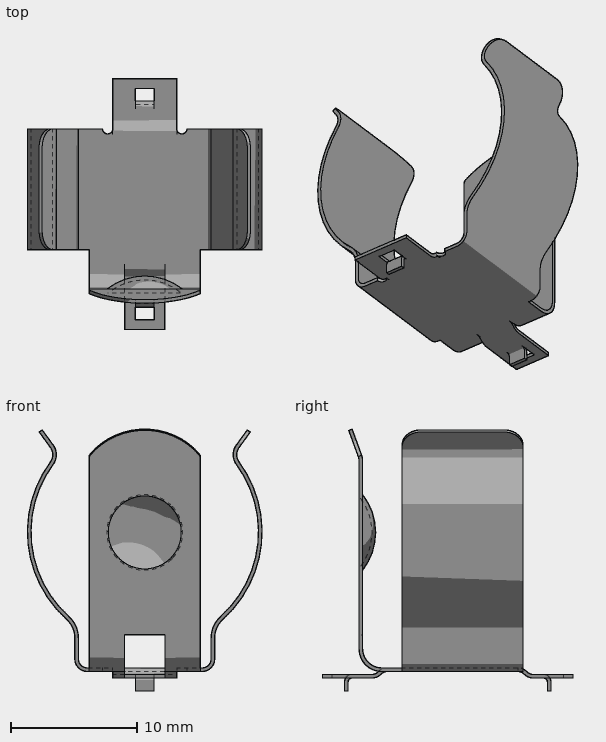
import cadquery as cq
import math

thickness = 0.3
half_sheet = thickness / 2

arm_width = 9.6
overall_width = 18.61
arm_radius = overall_width / 2 - half_sheet
arm_centre_z = 11.08
leg_x = 5.4
base_bend_radius = 0.85
shoulder_radius = 2.15
throat_x = 7.15
throat_radius = 1.15
flare_tilt = 36.0
flare_length = 1.5
flare_corner_radius = 1.5

stop_width = 8.82
stop_outer_y = -8.21
stop_bend_radius = 1.67
lip_start_z = 16.7
lip_bend_radius = 1.15
lip_tilt = 20.0
lip_length = 2.215

dimple_z = 11.03
dimple_radius = 4.85
dimple_height = 1.04

overall_depth = 19.88
tab_drop = 0.52
jog_bend_radius = 0.85
jog_angle = 40.0
rear_tab_width = 5.08
rear_jog_y = 4.38
rear_tab_end_y = 8.77
front_tab_width = 3.2
front_jog_y = -5.95
front_tab_end_y = rear_tab_end_y - overall_depth
window_top_z = 2.91
relief_radius = 0.4

pin_width = 1.5
pin_tip_z = -1.54
pin_bend_radius = 0.45
slot_length = 1.57
slot_margin = 0.78


def strip(plane, start, heading, moves, width):
    """Bent sheet strip, centred on the plane, following its mid-sheet path.

    A move is ("line", length) or ("bend", radius, angle); a positive angle turns left.
    Returns the solid with the end point and end heading of the path.
    """
    def offset(point, direction, distance):
        angle = math.radians(direction)
        return (point[0] + distance * math.cos(angle), point[1] + distance * math.sin(angle))

    def sides(point, direction):
        return (offset(point, direction + 90, half_sheet), offset(point, direction - 90, half_sheet))

    point = start
    stations = [sides(point, heading)]
    middles = []
    for move in moves:
        if move[0] == "line":
            point = offset(point, heading, move[1])
            middles.append(None)
        else:
            radius, angle = move[1:]
            side = math.copysign(90, angle)
            centre = offset(point, heading + side, radius)
            halfway = heading + angle / 2
            middles.append(sides(offset(centre, halfway - side, radius), halfway))
            heading += angle
            point = offset(centre, heading - side, radius)
        stations.append(sides(point, heading))

    outline = cq.Workplane(plane).moveTo(*stations[0][0])
    for middle, station in zip(middles, stations[1:]):
        if middle is None:
            outline = outline.lineTo(*station[0])
        else:
            outline = outline.threePointArc(middle[0], station[0])
    outline = outline.lineTo(*stations[-1][1])
    for middle, station in zip(reversed(middles), reversed(stations[:-1])):
        if middle is None:
            outline = outline.lineTo(*station[1])
        else:
            outline = outline.threePointArc(middle[1], station[1])
    solid = outline.close().extrude(width / 2, both=True)
    return solid, point, heading


def box(x_size, y_range, z_range):
    """Box centred on X = 0."""
    y_size = y_range[1] - y_range[0]
    z_size = z_range[1] - z_range[0]
    corner = (-x_size / 2, y_range[0], z_range[0])
    return cq.Workplane("XY").box(x_size, y_size, z_size, centered=False).translate(corner)


def make_arm():
    """Right-hand half of the base with its spring arm."""
    shoulder_angle = math.degrees(math.acos((leg_x + shoulder_radius) / (arm_radius + shoulder_radius)))
    throat_angle = math.degrees(math.acos((throat_x + throat_radius) / (arm_radius + throat_radius)))
    shoulder_drop = (arm_radius + shoulder_radius) * math.sin(math.radians(shoulder_angle))
    leg_top_z = arm_centre_z - shoulder_drop
    moves = [
        ("line", leg_x - base_bend_radius),
        ("bend", base_bend_radius, 90),
        ("line", leg_top_z - base_bend_radius - half_sheet),
        ("bend", shoulder_radius, -shoulder_angle),
        ("bend", arm_radius, shoulder_angle + throat_angle),
        ("bend", throat_radius, -throat_angle - flare_tilt),
        ("line", flare_length),
    ]
    arm, tip, heading = strip("XZ", (0, half_sheet), 0, moves, arm_width)
    tip_centre = cq.Vector(tip[0], 0, tip[1])
    reach = cq.Vector(thickness, arm_width, thickness)
    corner_edges = cq.selectors.BoxSelector(tip_centre - reach, tip_centre + reach)
    thickness_direction = cq.Vector(math.sin(math.radians(heading)), 0, -math.cos(math.radians(heading)))
    across_sheet = cq.selectors.ParallelDirSelector(thickness_direction)
    return arm.edges(corner_edges).edges(across_sheet).fillet(flare_corner_radius)


def make_end_stop():
    """Base extension turned up into the stop plate, with a round lip leaning outwards."""
    stop_y = stop_outer_y + half_sheet
    run = -stop_y - stop_bend_radius
    moves = [
        ("line", run),
        ("bend", stop_bend_radius, -90),
        ("line", lip_start_z - stop_bend_radius - half_sheet),
        ("bend", lip_bend_radius, lip_tilt),
    ]
    stop, lip_base, _ = strip("YZ", (0, half_sheet), 180, moves, stop_width)
    half_width = stop_width / 2
    lip_plane = cq.Plane(
        origin=(0, lip_base[0], lip_base[1]),
        xDir=(1, 0, 0),
        normal=(0, -math.cos(math.radians(lip_tilt)), -math.sin(math.radians(lip_tilt))),
    )
    lip = (
        cq.Workplane(lip_plane)
        .moveTo(-half_width, 0)
        .threePointArc((0, lip_length), (half_width, 0))
        .close()
        .extrude(half_sheet, both=True)
    )
    return stop.union(lip)


def add_dimple(body):
    """Spherical shell pressed through the stop plate from outside."""
    inner_face_y = stop_outer_y + thickness
    centre = (0, inner_face_y + dimple_height - dimple_radius, dimple_z)
    bulge = cq.Workplane("XY").sphere(dimple_radius).translate(centre)
    hollow = cq.Workplane("XY").sphere(dimple_radius - thickness).translate(centre)
    inside = box(stop_width, (stop_outer_y, 0), (dimple_z - dimple_radius, dimple_z + dimple_radius))
    return body.union(bulge.intersect(inside)).cut(hollow)


def make_tab(jog_y, end_y, width, direction):
    """Tab stepped down from the base; direction is +1 towards +Y and -1 towards -Y."""
    angle = math.radians(jog_angle)
    bend_drop = 2 * jog_bend_radius * (1 - math.cos(angle))
    slope_length = (tab_drop - bend_drop) / math.sin(angle)
    jog_run = 2 * jog_bend_radius * math.sin(angle) + slope_length * math.cos(angle)
    turn = -direction * jog_angle
    heading = 90 - 90 * direction
    moves = [
        ("bend", jog_bend_radius, turn),
        ("line", slope_length),
        ("bend", jog_bend_radius, -turn),
        ("line", abs(end_y - jog_y) - jog_run),
    ]
    return strip("YZ", (jog_y, half_sheet), heading, moves, width)[0]


def add_pin(tab, slot_y, slot_end, fold_direction):
    """Slot from slot_y to slot_end; its tongue is folded down at slot_y."""
    mid_z = half_sheet - tab_drop
    slot = box(pin_width, sorted((slot_y, slot_end)), (mid_z - thickness, mid_z + thickness))
    moves = [
        ("bend", pin_bend_radius, -90 * fold_direction),
        ("line", mid_z - pin_bend_radius - pin_tip_z),
    ]
    pin = strip("YZ", (slot_y, mid_z), 90 - 90 * fold_direction, moves, pin_width)[0]
    return tab.cut(slot).union(pin)


def make_rear_tab():
    tab = make_tab(rear_jog_y, rear_tab_end_y, rear_tab_width, 1)
    slot_end = rear_tab_end_y - slot_margin
    return add_pin(tab, slot_end - slot_length, slot_end, 1)


def make_front_tab():
    tab = make_tab(front_jog_y, front_tab_end_y, front_tab_width, -1)
    slot_end = front_tab_end_y + slot_margin
    return add_pin(tab, slot_end + slot_length, slot_end, -1)


def cut_rear_reliefs(body):
    """Clear the rear edge behind the tab bend and round the reliefs on both sides of it."""
    rear_edge_y = arm_width / 2
    relief_x = rear_tab_width / 2 + relief_radius
    reliefs = (
        cq.Workplane("XY")
        .pushPoints([(-relief_x, rear_edge_y), (relief_x, rear_edge_y)])
        .circle(relief_radius)
        .extrude(thickness)
    )
    bend_gap = box(rear_tab_width, (rear_jog_y, rear_edge_y), (0, thickness))
    return body.cut(reliefs).cut(bend_gap)


arm = make_arm()
body = arm.union(arm.mirror("YZ"))
body = cut_rear_reliefs(body)
body = body.union(add_dimple(make_end_stop()))

window = box(front_tab_width, (stop_outer_y, front_jog_y), (0, window_top_z))
body = body.cut(window)

result = body.union(make_rear_tab()).union(make_front_tab())